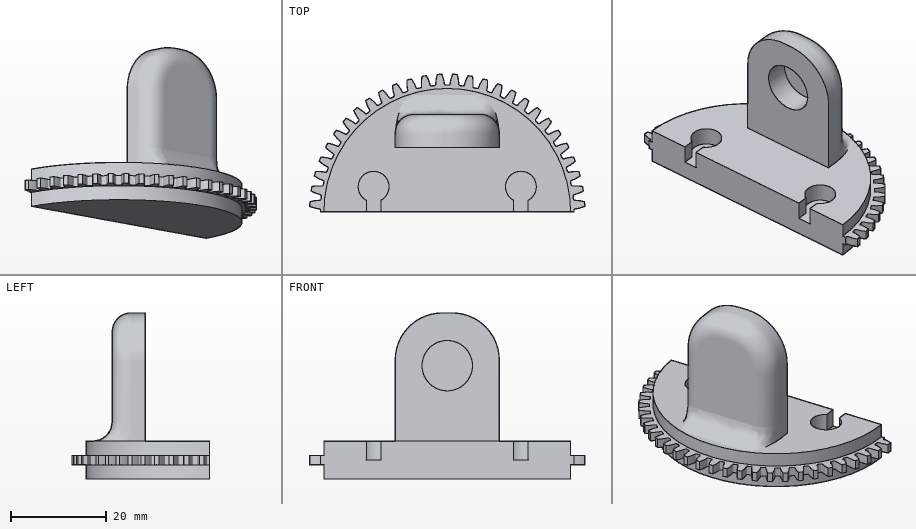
import cadquery as cq
import math

base_radius = 25.95
base_height = 8.0

gear_length = 57.95
tooth_count = 28
gear_thickness = 2.0
root_radius = 26.7
flank_start_radius = 27.55
pitch_radius = 28.0
root_tooth_width = 1.9
flank_start_tooth_width = 1.75
pitch_tooth_width = 1.55
tip_tooth_width = 1.0
root_fillet = 0.25

lug_width = 21.95
lug_height = 27.0
lug_thickness = 7.0
lug_front_y = 13.5
lug_corner_radius = 9.95
back_round = 4.0

foot_setback = 1.4
foot_sections = 7

hole_diameter = 10.6
hole_height = 15.9
hole_depth = 5.3

keyhole_diameter = 6.5
keyhole_spacing = 31.0
keyhole_y = 5.3
keyhole_depth = 4.0
keyhole_slot_width = 3.0

tooth_pitch = math.pi / tooth_count
root_half_angle = root_tooth_width / 2 / root_radius
flank_start_half_angle = flank_start_tooth_width / 2 / flank_start_radius
pitch_half_angle = pitch_tooth_width / 2 / pitch_radius
tip_half_angle = tip_tooth_width / gear_length
tip_radius = gear_length / 2 / math.cos(tooth_pitch / 2 - tip_half_angle)
gear_bottom = (base_height - gear_thickness) / 2
lug_back_y = lug_front_y + lug_thickness
lug_half_width = lug_width / 2


def polar(radius, angle):
    """Point in the XY plane at a radius and an angle from +X."""
    return (radius * math.cos(angle), radius * math.sin(angle))


def half_disk():
    """Half disk on the +Y side of the Y = 0 plane."""
    return (
        cq.Workplane("XY")
        .moveTo(base_radius, 0)
        .threePointArc((0, base_radius), (-base_radius, 0))
        .close()
        .extrude(base_height)
    )


def tooth(middle):
    """One gear tooth centred on the given angle: filleted roots, then straight and curved flanks."""
    gap_start = middle - tooth_pitch / 2
    gap_end = middle + tooth_pitch / 2
    rise = middle - root_half_angle
    fall = middle + root_half_angle
    blank = (
        cq.Workplane("XY", origin=(0, 0, gear_bottom))
        .lineTo(*polar(root_radius, gap_start))
        .threePointArc(polar(root_radius, (gap_start + rise) / 2), polar(root_radius, rise))
        .lineTo(*polar(flank_start_radius, middle - flank_start_half_angle))
        .threePointArc(
            polar(pitch_radius, middle - pitch_half_angle),
            polar(tip_radius, middle - tip_half_angle),
        )
        .threePointArc(polar(tip_radius, middle), polar(tip_radius, middle + tip_half_angle))
        .threePointArc(
            polar(pitch_radius, middle + pitch_half_angle),
            polar(flank_start_radius, middle + flank_start_half_angle),
        )
        .lineTo(*polar(root_radius, fall))
        .threePointArc(polar(root_radius, (fall + gap_end) / 2), polar(root_radius, gap_end))
        .close()
        .extrude(gear_thickness)
    )
    rise_corner = cq.selectors.NearestToPointSelector((*polar(root_radius, rise), base_height / 2))
    fall_corner = cq.selectors.NearestToPointSelector((*polar(root_radius, fall), base_height / 2))
    return blank.edges("|Z").edges(rise_corner + fall_corner).fillet(root_fillet)


def half_gear():
    """Half gear whose straight side cuts through the middle of two tooth gaps."""
    teeth = [tooth((index + 0.5) * tooth_pitch).val() for index in range(tooth_count)]
    return cq.Workplane(teeth[0].fuse(*teeth[1:]))


def lug():
    """Upright plate with a flat front, round top corners and a rounded rim at the back."""
    plate = (
        cq.Workplane("XY", origin=(0, lug_front_y + lug_thickness / 2, base_height))
        .rect(lug_width, lug_thickness)
        .extrude(lug_height)
        .edges("|Y and >Z")
        .fillet(lug_corner_radius)
    )
    return plate.faces(">Y").edges("not <Z").fillet(back_round)


def lug_foot():
    """Concave foot behind the lug, narrowing upwards from elliptic corners to the lug's round ones."""
    flat_half_width = lug_half_width - back_round
    foot = cq.Workplane("XY", origin=(0, 0, base_height))
    level = 0.0
    for index in range(foot_sections):
        angle = math.pi / 2 * index / (foot_sections - 1)
        spread = 1 - math.sin(angle)
        next_level = back_round * (1 - math.cos(angle))
        back_y = lug_back_y + back_round * spread
        corner_start_y = lug_back_y - back_round - foot_setback * spread
        corner_depth = back_y - corner_start_y
        foot = (
            foot.workplane(offset=next_level - level)
            .moveTo(lug_half_width, corner_start_y)
            .ellipseArc(back_round, corner_depth, 0, 90, startAtCurrent=True)
            .lineTo(-flat_half_width, back_y)
            .ellipseArc(back_round, corner_depth, 90, 180, startAtCurrent=True)
            .close()
        )
        level = next_level
    return foot.loft()


def lug_hole():
    """Blind round hole, open to the front of the lug."""
    return (
        cq.Workplane("XZ", origin=(0, lug_front_y, base_height + hole_height))
        .circle(hole_diameter / 2)
        .extrude(-hole_depth)
    )


def keyhole(x):
    """Flat-bottomed round pocket with a narrower slot running out through the straight side."""
    floor = cq.Workplane("XY", origin=(x, 0, base_height - keyhole_depth))
    slot = floor.rect(keyhole_slot_width, 2 * keyhole_y).extrude(keyhole_depth)
    pocket = floor.center(0, keyhole_y).circle(keyhole_diameter / 2).extrude(keyhole_depth)
    return slot.union(pocket)


result = half_disk().union(half_gear())
result = result.union(lug().union(lug_foot())).cut(lug_hole())
for side in (-1, 1):
    result = result.cut(keyhole(side * keyhole_spacing / 2))